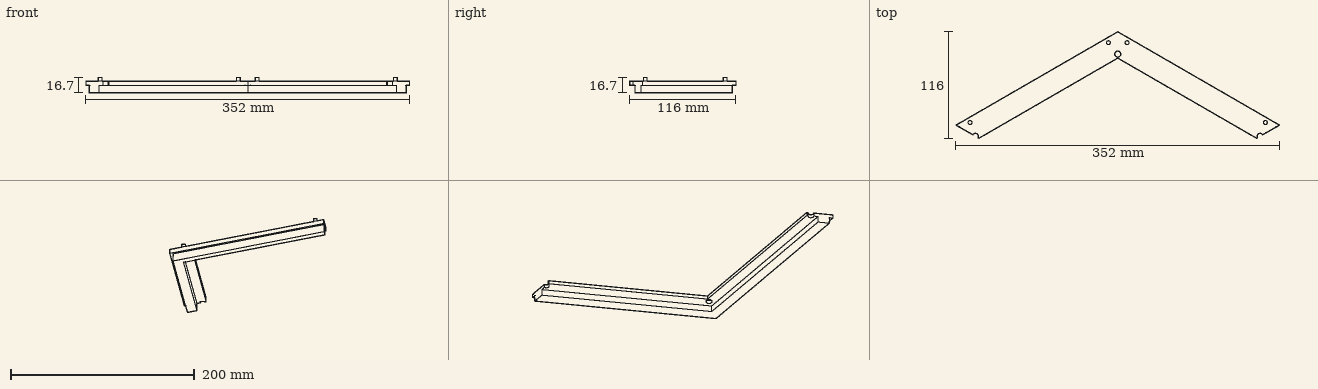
import cadquery as cq
import math

half_span = 176.0
slope = math.radians(30)
arm_length = half_span / math.cos(slope)

arm_width = 25.0
rib_outer_inset = 3.5
rib_inner_inset = 10.5
plate_thickness = 4.5
rib_height = 8.0

pin_diameter = 4.2
pin_height = 4.2
pin_edge_inset = 5.3
pin_end_inset = 14.8

hole_diameter = 6.5
hole_edge_inset = 21.0


def corner_point(inset):
    """Point on the symmetry line, at an inset from both outer edges."""
    return (0, -inset / math.cos(slope))


def end_point(side, inset):
    """Point on an arm's end edge, at an inset from its outer edge."""
    x = half_span - inset
    y = -(half_span + inset) * math.tan(slope)
    return (side * x, y)


def arm_point(side, along, inset):
    """Point at a distance along an arm and an inset from its outer edge."""
    x = along * math.cos(slope) - inset * math.sin(slope)
    y = -along * math.sin(slope) - inset * math.cos(slope)
    return (side * x, y)


def chevron(outer_inset, inner_inset, bottom, height):
    """Bent bar between two insets from the outer edge, with sloping ends."""
    outline = [
        corner_point(outer_inset),
        end_point(1, outer_inset),
        end_point(1, inner_inset),
        corner_point(inner_inset),
        end_point(-1, inner_inset),
        end_point(-1, outer_inset),
    ]
    return cq.Workplane("XY").workplane(offset=bottom).polyline(outline).close().extrude(height)


def cylinders(points, diameter, bottom, height):
    """Equal vertical cylinders standing at the given points."""
    return cq.Workplane("XY").workplane(offset=bottom).pushPoints(points).circle(diameter / 2).extrude(height)


plate = chevron(0, arm_width, rib_height, plate_thickness)
rib = chevron(rib_outer_inset, arm_width - rib_inner_inset, 0, rib_height)

hole_points = [corner_point(hole_edge_inset)]
hole_points += [end_point(side, hole_edge_inset) for side in (-1, 1)]
plate = plate.cut(cylinders(hole_points, hole_diameter, rib_height, plate_thickness))

pin_points = [
    arm_point(side, along, pin_edge_inset)
    for side in (-1, 1)
    for along in (pin_end_inset, arm_length - pin_end_inset)
]
pins = cylinders(pin_points, pin_diameter, rib_height + plate_thickness, pin_height)

result = plate.union(rib).union(pins)